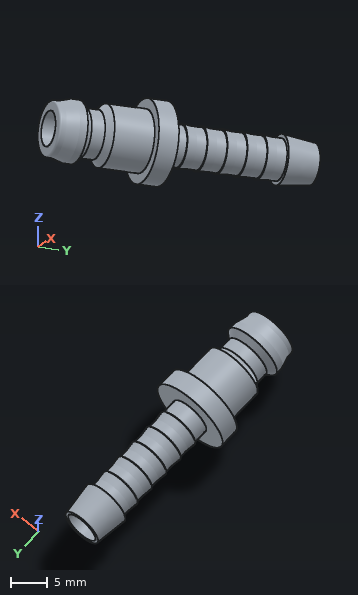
import cadquery as cq
import math

total_length = 39.5
bore_radius = 2.5

nose_radius = 4.0
nose_fillet = 0.3
nose_length = 1.0
nose_flare_length = 1.8

body_radius = 4.5
collar_length = 1.2
groove_depth = 1.0
groove_floor_length = 2.0
body_length = 6.0

flange_radius = 6.0
flange_thickness = 3.0

stem_radius = 3.0
taper_angle = 7.0
ridge_length = 1.5
ridge_pitch = 3.0
ridge_count = 5
first_ridge_from_flange = 2.5
barb_length = 5.0

collar_start_y = nose_length + nose_flare_length
collar_end_y = collar_start_y + collar_length
groove_start_y = collar_end_y + groove_depth
groove_end_y = groove_start_y + groove_floor_length
body_start_y = groove_end_y + groove_depth
flange_start_y = body_start_y + body_length
flange_end_y = flange_start_y + flange_thickness
barb_start_y = total_length - barb_length


def add_plug(profile):
    """Nose, flare, collar, latching groove and body, up to the flange."""
    groove_radius = body_radius - groove_depth
    return (
        profile.lineTo(nose_radius - nose_fillet, 0)
        .radiusArc((nose_radius, nose_fillet), -nose_fillet)
        .lineTo(nose_radius, nose_length)
        .lineTo(body_radius, collar_start_y)
        .lineTo(body_radius, collar_end_y)
        .lineTo(groove_radius, groove_start_y)
        .lineTo(groove_radius, groove_end_y)
        .lineTo(body_radius, body_start_y)
        .lineTo(body_radius, flange_start_y)
    )


def add_flange(profile):
    """Flange that stops the plug, stepping down to the stem."""
    return (
        profile.lineTo(flange_radius, flange_start_y)
        .lineTo(flange_radius, flange_end_y)
        .lineTo(stem_radius, flange_end_y)
    )


def add_barb(profile, start_y, length):
    """Sharp step out from the stem, then a taper back to it toward the tail end."""
    crest_radius = stem_radius + length * math.tan(math.radians(taper_angle))
    return (
        profile.lineTo(stem_radius, start_y)
        .lineTo(crest_radius, start_y)
        .lineTo(stem_radius, start_y + length)
    )


def add_tail(profile):
    """Row of small ridges along the stem, closed by the long end barb."""
    for index in range(ridge_count):
        ridge_y = flange_end_y + first_ridge_from_flange + index * ridge_pitch
        profile = add_barb(profile, ridge_y, ridge_length)
    return add_barb(profile, barb_start_y, barb_length)


section = cq.Workplane("XY").moveTo(bore_radius, 0)
section = add_plug(section)
section = add_flange(section)
section = add_tail(section)
section = section.lineTo(bore_radius, total_length).close()

result = section.revolve(360, (0, 0, 0), (0, 1, 0))